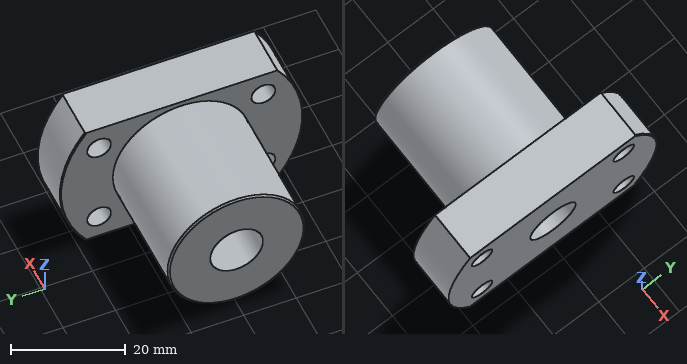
import cadquery as cq

flange_diameter = 46.0
flange_height = 28.0
flange_thickness = 10.0
flange_chamfer = 0.2

overall_length = 34.0
body_diameter = 26.0
body_chamfer = 0.3
bore_diameter = 10.0

bolt_circle_diameter = 36.0
mounting_hole_diameter = 4.5
hole_angles = (30, 150, 210, 330)

body_length = overall_length - flange_thickness


def make_body():
    """Cylinder along X with a chamfered free end at X = 0."""
    body = cq.Workplane("YZ").circle(body_diameter / 2).extrude(overall_length)
    return body.faces("<X").chamfer(body_chamfer)


def make_flange():
    """Disc with flats at the top and bottom and chamfered rims on its +Y arc."""
    disc = (
        cq.Workplane("YZ", origin=(body_length, 0, 0))
        .circle(flange_diameter / 2)
        .extrude(flange_thickness)
    )
    flats = (
        cq.Workplane("YZ", origin=(body_length, 0, 0))
        .rect(flange_diameter, flange_height)
        .extrude(flange_thickness)
    )
    flange = disc.intersect(flats)
    return flange.faces(">Y").edges("%CIRCLE").chamfer(flange_chamfer)


def make_holes():
    """Through cutters for the bore and the four mounting holes."""
    cutters = cq.Workplane("YZ").circle(bore_diameter / 2).extrude(overall_length)
    for angle in hole_angles:
        hole = (
            cq.Workplane("YZ")
            .transformed(rotate=(0, 0, angle))
            .center(bolt_circle_diameter / 2, 0)
            .circle(mounting_hole_diameter / 2)
            .extrude(overall_length)
        )
        cutters = cutters.add(hole)
    return cutters.combine()


result = make_body().union(make_flange()).cut(make_holes())